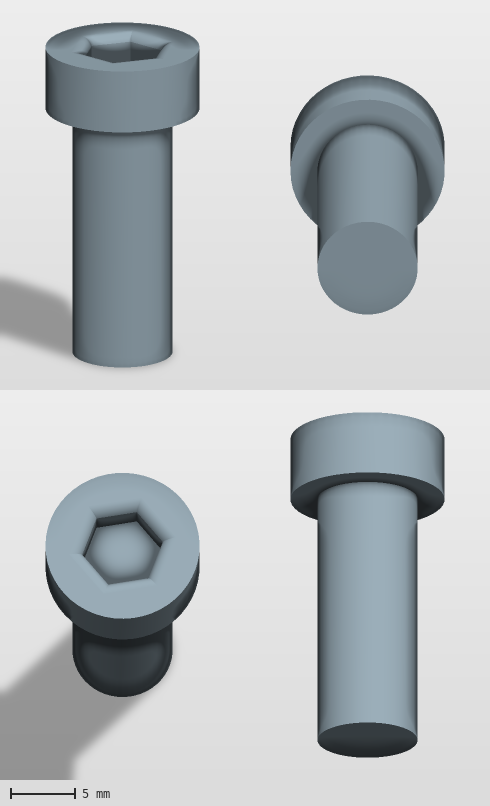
import cadquery as cq
import math

head_diameter = 12.0
head_height = 5.0
shank_diameter = 7.8
shank_length = 20.0

socket_across_flats = 5.5
socket_depth = 2.83
mouth_width = 0.89
mouth_height = 0.61

total_length = shank_length + head_height
socket_floor = total_length - socket_depth
flats_step = 60
socket_half_width = socket_across_flats / 2
mouth_half_width = socket_half_width + mouth_width

mouth_radius = (mouth_width**2 + mouth_height**2) / (2 * mouth_height)
mouth_angle = math.asin(mouth_width / mouth_radius)


def make_blank():
    """Cylindrical head on a plain cylindrical shank."""
    shank = cq.Workplane("XY").circle(shank_diameter / 2).extrude(shank_length)
    head = (
        cq.Workplane("XY")
        .workplane(offset=shank_length)
        .circle(head_diameter / 2)
        .extrude(head_height)
    )
    return shank.union(head)


def make_flared_slot():
    """Slot along X, as wide as the socket, with both upper edges rounded."""
    arc_mid_y = mouth_half_width - mouth_radius * math.sin(mouth_angle / 2)
    arc_mid_z = total_length - mouth_radius * (1 - math.cos(mouth_angle / 2))
    arc_low_z = total_length - mouth_height
    return (
        cq.Workplane("YZ")
        .moveTo(-socket_half_width, socket_floor)
        .lineTo(socket_half_width, socket_floor)
        .lineTo(socket_half_width, arc_low_z)
        .threePointArc((arc_mid_y, arc_mid_z), (mouth_half_width, total_length))
        .lineTo(-mouth_half_width, total_length)
        .threePointArc((-arc_mid_y, arc_mid_z), (-socket_half_width, arc_low_z))
        .close()
        .extrude(head_diameter / 2, both=True)
    )


def make_socket():
    """Hexagonal cavity: the overlap of three flared slots 60 degrees apart."""
    slot = make_flared_slot()
    socket = slot
    for angle in (flats_step, 2 * flats_step):
        socket = socket.intersect(slot.rotate((0, 0, 0), (0, 0, 1), angle))
    return socket


result = make_blank().cut(make_socket())